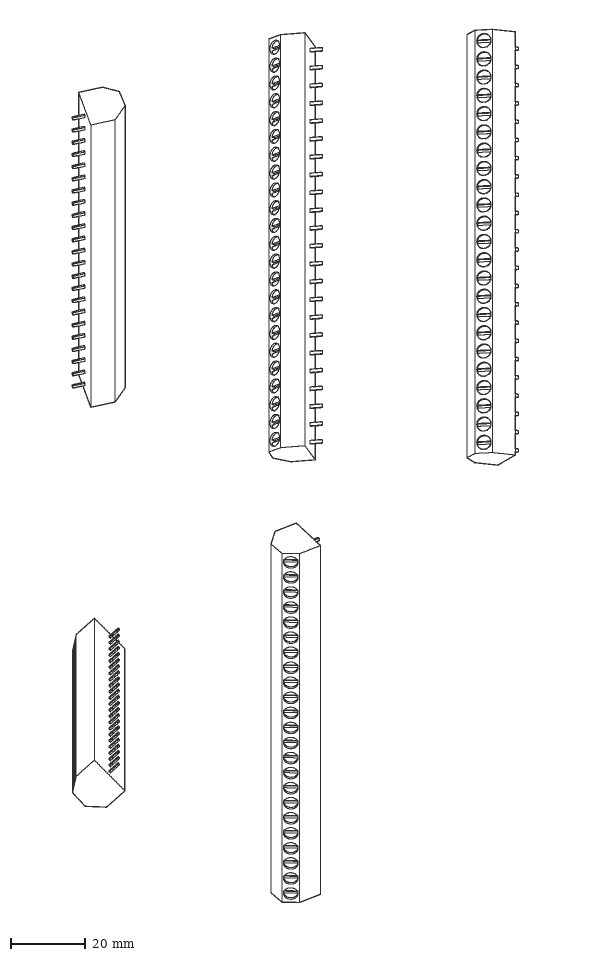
import cadquery as cq

body_width = 12.0
body_depth = 10.8
body_height = 117.8
left_side_depth = 6.7
left_slope_run = 2.7
right_side_depth = 6.8
right_slope_run = 4.1
back_drop = 0.18

contact_count = 23
contact_span = 111.8

pin_length = 3.4
pin_width = 0.5
pin_height = 1.0
pin_tip_length = 0.4
pin_tip_taper = 0.1

recess_diameter = 3.9
recess_depth = 0.7
slot_width = 0.8
slot_depth = 0.8

half_width = body_width / 2
left_slope_rise = body_depth - back_drop - left_side_depth
contact_pitch = contact_span / (contact_count - 1)
first_contact_z = (body_height - contact_span) / 2
contact_heights = [first_contact_z + i * contact_pitch for i in range(contact_count)]


def make_body():
    outline = [
        (-half_width, 0),
        (half_width, 0),
        (half_width, right_side_depth),
        (half_width - right_slope_run, body_depth),
        (-half_width + left_slope_run, left_side_depth + left_slope_rise),
        (-half_width, left_side_depth),
    ]
    return cq.Workplane("XY").polyline(outline).close().extrude(body_height)


def make_pin(z):
    """A flat pin pointing to -Y, tapered above and below at its tip."""
    half_height = pin_height / 2
    tip_half_height = half_height - pin_tip_taper
    shaft_length = pin_length - pin_tip_length
    outline = [
        (0, -half_height),
        (-shaft_length, -half_height),
        (-pin_length, -tip_half_height),
        (-pin_length, tip_half_height),
        (-shaft_length, half_height),
        (0, half_height),
    ]
    plane = cq.Workplane("YZ", origin=(0, 0, z))
    return plane.polyline(outline).close().extrude(pin_width / 2, both=True)


def make_screw_recess(z):
    """A round recess in the left slope, with a slot across the whole screw head at its floor."""
    slope_plane = cq.Plane(
        origin=(-half_width + left_slope_run / 2, left_side_depth + left_slope_rise / 2, z),
        xDir=(left_slope_run, left_slope_rise, 0),
        normal=(-left_slope_rise, left_slope_run, 0),
    )
    slope = cq.Workplane(slope_plane)
    total_depth = recess_depth + slot_depth
    recess = slope.circle(recess_diameter / 2).extrude(-recess_depth)
    bore = slope.circle(recess_diameter / 2).extrude(-total_depth)
    slot_band = slope.rect(recess_diameter, slot_width).extrude(-total_depth)
    return recess.union(bore.intersect(slot_band))


result = make_body()
for contact_z in contact_heights:
    result = result.union(make_pin(contact_z))
    result = result.cut(make_screw_recess(contact_z))